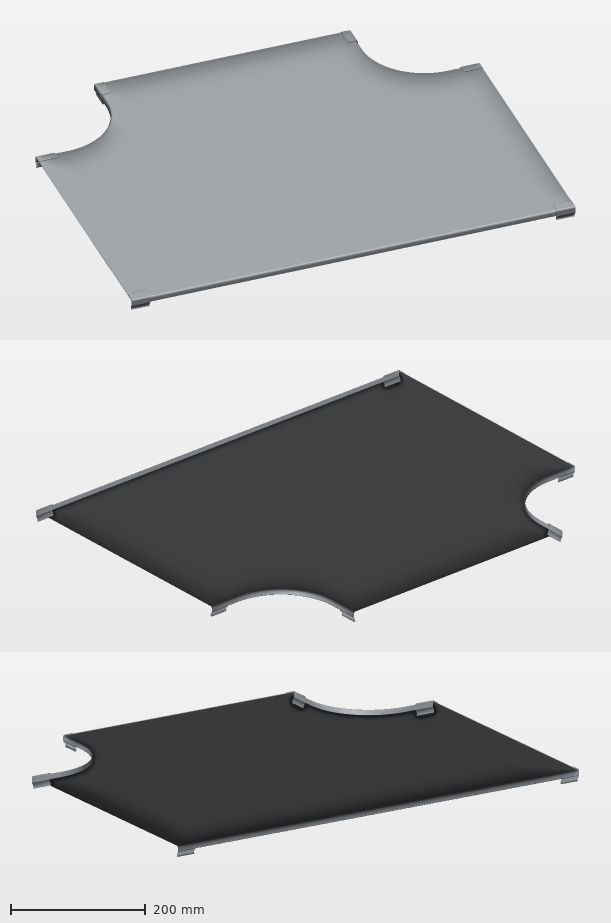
import cadquery as cq
import math

LENGTH = 702.5
WIDTH = 553.5
CLIP_HEIGHT = 19.0
CHANNEL_WIDTH = 404.5
SHEET = 1.0

SKIRT_HEIGHT = 9.0
BEND_RADIUS = 3.5
CORNER_RADIUS = 98.0

CLIP_LENGTH = 29.5
CLIP_ARM = 15.5
CLIP_BEND_RADIUS = 2.7
TURN_RADIUS = 1.5
TURN_ANGLE = 54.0
HOLLOW_RADIUS = 8.0
TIP_INSET = 3.0

X_BRANCH_END = -WIDTH / 2
X_SIDE = WIDTH / 2 - SHEET
X_TRUNK = X_SIDE - CHANNEL_WIDTH
Y_END = LENGTH / 2
Y_BRANCH = CHANNEL_WIDTH / 2
ARC_X = X_TRUNK - CORNER_RADIUS
ARC_Y = Y_BRANCH + CORNER_RADIUS
COVER_TOP = -SHEET
SKIRT_BOTTOM = COVER_TOP - SKIRT_HEIGHT


def cover_block(inset, top, bend_radius):
    """Tee-shaped block with its skirt faces moved in by inset and their top edges rounded."""
    x_trunk = X_TRUNK + inset
    y_branch = Y_BRANCH - inset
    arc_middle = (CORNER_RADIUS + inset) * math.sqrt(0.5)
    block = (
        cq.Workplane("XY", origin=(0, 0, SKIRT_BOTTOM))
        .moveTo(X_SIDE - inset, -Y_END)
        .lineTo(X_SIDE - inset, Y_END)
        .lineTo(x_trunk, Y_END)
        .lineTo(x_trunk, ARC_Y)
        .threePointArc((ARC_X + arc_middle, ARC_Y - arc_middle), (ARC_X, y_branch))
        .lineTo(X_BRANCH_END, y_branch)
        .lineTo(X_BRANCH_END, -y_branch)
        .lineTo(ARC_X, -y_branch)
        .threePointArc((ARC_X + arc_middle, arc_middle - ARC_Y), (x_trunk, -ARC_Y))
        .lineTo(x_trunk, -Y_END)
        .close()
        .extrude(top - SKIRT_BOTTOM)
    )
    skirt_edges = block.faces(">Z").edges("not(<Y or >Y or <X)")
    return skirt_edges.fillet(bend_radius)


def make_cover():
    """Flat plate with a bent-down skirt on every side except the three open ends."""
    outside = cover_block(0, COVER_TOP, BEND_RADIUS)
    inside = cover_block(SHEET, COVER_TOP - SHEET, BEND_RADIUS - SHEET)
    return outside.cut(inside)


def make_clip(face_x, face_y, inward, along):
    """Clip on the skirt face at (face_x, face_y), starting at an open end and running along the skirt.

    inward is the plan direction from the skirt into the plate, along the one away from the open end.
    """
    section = cq.Plane(
        origin=(face_x, face_y, 0),
        xDir=inward,
        normal=cq.Vector(*inward).cross(cq.Vector(0, 0, 1)),
    )
    length = CLIP_LENGTH * section.zDir.dot(cq.Vector(*along))

    inner_bend_radius = CLIP_BEND_RADIUS - SHEET
    inner_turn_radius = TURN_RADIUS - SHEET
    inner_hollow_radius = HOLLOW_RADIUS + SHEET
    turn_cos = math.cos(math.radians(TURN_ANGLE))
    turn_sin = math.sin(math.radians(TURN_ANGLE))
    outer_turn_end = (inner_turn_radius - TURN_RADIUS * turn_cos, SKIRT_BOTTOM - TURN_RADIUS * turn_sin)
    inner_turn_end = (inner_turn_radius * (1 - turn_cos), SKIRT_BOTTOM - inner_turn_radius * turn_sin)
    hollow_centre_x = inner_turn_radius - (TURN_RADIUS + HOLLOW_RADIUS) * turn_cos
    hollow_end_y = SKIRT_BOTTOM - (TURN_RADIUS + HOLLOW_RADIUS) * turn_sin
    return (
        cq.Workplane(section)
        .moveTo(CLIP_ARM - SHEET, 0)
        .lineTo(inner_bend_radius, 0)
        .radiusArc((-SHEET, -CLIP_BEND_RADIUS), -CLIP_BEND_RADIUS)
        .lineTo(-SHEET, SKIRT_BOTTOM)
        .radiusArc(outer_turn_end, -TURN_RADIUS)
        .radiusArc((hollow_centre_x + HOLLOW_RADIUS, hollow_end_y), HOLLOW_RADIUS)
        .lineTo(TIP_INSET - SHEET, -CLIP_HEIGHT)
        .lineTo(TIP_INSET, -CLIP_HEIGHT)
        .lineTo(hollow_centre_x + inner_hollow_radius, hollow_end_y)
        .radiusArc(inner_turn_end, -inner_hollow_radius)
        .radiusArc((0, SKIRT_BOTTOM), inner_turn_radius)
        .lineTo(0, -CLIP_BEND_RADIUS)
        .radiusArc((inner_bend_radius, -SHEET), inner_bend_radius)
        .lineTo(CLIP_ARM - SHEET, -SHEET)
        .close()
        .extrude(length)
    )


cover = make_cover()
clips = []
for side in (1, -1):
    towards_middle = (0, -side, 0)
    clips.append(make_clip(X_SIDE, side * Y_END, (-1, 0, 0), towards_middle))
    clips.append(make_clip(X_TRUNK, side * Y_END, (1, 0, 0), towards_middle))
    clips.append(make_clip(X_BRANCH_END, side * Y_BRANCH, towards_middle, (1, 0, 0)))

result = cq.Compound.makeCompound([cover.val(), *[clip.val() for clip in clips]])